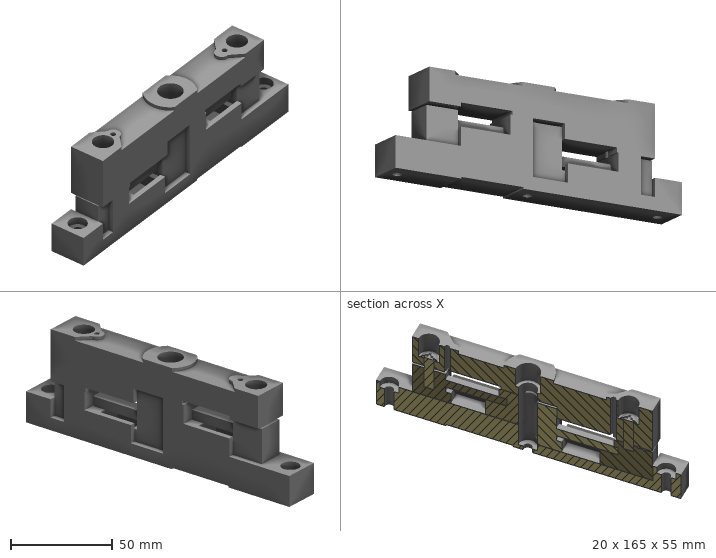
import cadquery as cq
import math

WIDTH = 20.0
LENGTH = 165.0
HEIGHT = 55.0
NARROW_WIDTH = 14.2

UPPER_SEAT = 16.8
LOWER_SEAT = 7.0
SLIDE_THICKNESS = 9.9
UPPER_RISER = 10.4
LOWER_RISER = 9.9

SEAT_STEP_Y = 3.5
LOWER_SEAT_END_Y = -67.0
RELIEF_START_Y = 8.7
RELIEF_END_Y = 44.5
RELIEF_DEPTH = 0.8
MOUNT_HOLE_DIAMETER = 5.0
MOUNT_HEAD_DIAMETER = 10.0
MOUNT_HEAD_DEPTH = 4.1
MOUNT_PITCH = 74.9
MOUNT_SHIFT_Y = 0.5

UPPER_SLIDE_Y = 44.9
UPPER_RISER_Y = 16.3
LOWER_SLIDE_Y = -16.8
LOWER_RISER_Y = -45.9
LOWER_SLIDE_END_Y = -58.7
SLOT_LENGTH = 21.5
TAIL_DROP = 0.5

POST_TOP = 36.0
TONGUE_LENGTH = 3.0
TONGUE_HEIGHT = 7.0
ARM_WIDTH = 6.8
ARM_TIP_WIDTH = 5.3
ARM_LENGTH = 30.0
ARM_TIP_LENGTH = 3.3
ARM_HEIGHT = 5.3

BLOCK_START_Y = 63.0
BLOCK_END_Y = LOWER_SEAT_END_Y
DECK_Z = 53.0
UPPER_RECESS_Z = 39.1
UPPER_RECESS_END_Y = 15.2
LOWER_STEP_Y = -15.0
LOWER_RECESS_Z = 29.2
LOWER_RECESS_END_Y = -45.0
DISC_RADIUS = 13.5
WELL_DIAMETER = 13.2
WELL_Y = 0.3
WELL_FLOOR_Z = 42.7
UPPER_PAD_Y = 48.2
UPPER_PAD_NOSE_Y = 41.7
LOWER_PAD_Y = -51.8
LOWER_PAD_NOSE_Y = -45.7
NOSE_RADIUS = 3.8
PIN_HOLE_DIAMETER = 3.0
UPPER_PIN_HOLE_Y = 44.0
LOWER_PIN_HOLE_Y = -45.9

SCREW_Y = 54.0
SCREW_SEAT_Z = 42.7
SCREW_WELL_DIAMETER = 11.0
HEAD_DIAMETER = 9.5
HEAD_HEIGHT = 2.5
DOME_MID_ANGLE = 65
SHANK_DIAMETER = 5.0
SHANK_LENGTH = 20.0
CROSS_LENGTH = 4.5
CROSS_WIDTH = 1.5
CROSS_DEPTH = 2.0

UPPER_RISER_TOP = UPPER_SEAT + SLIDE_THICKNESS + UPPER_RISER
LOWER_RISER_TOP = LOWER_SEAT + SLIDE_THICKNESS + LOWER_RISER


def box(width, y_low, y_high, z_low, z_high):
    """Box centred on x = 0 between the given Y and Z limits."""
    size_y = y_high - y_low
    return (
        cq.Workplane("XY")
        .box(width, size_y, z_high - z_low, centered=(True, False, False))
        .translate((0, y_low, z_low))
    )


def rod(diameter, y, z_low, z_high):
    """Upright cylinder at x = 0."""
    return cq.Workplane("XY", origin=(0, y, z_low)).circle(diameter / 2).extrude(z_high - z_low)


def full_width(profile):
    """Extrude a closed (Y, Z) profile over the whole width."""
    return cq.Workplane("YZ").polyline(profile).close().extrude(WIDTH / 2, both=True)


def make_screw(y):
    """Domed cross-recess screw."""
    head_radius = HEAD_DIAMETER / 2
    shank_radius = SHANK_DIAMETER / 2
    dome_radius = (head_radius**2 + HEAD_HEIGHT**2) / (2 * HEAD_HEIGHT)
    dome_centre = HEAD_HEIGHT - dome_radius
    mid = math.radians(DOME_MID_ANGLE)
    screw = (
        cq.Workplane("XZ")
        .moveTo(0, -SHANK_LENGTH)
        .lineTo(shank_radius, -SHANK_LENGTH)
        .lineTo(shank_radius, 0)
        .lineTo(head_radius, 0)
        .threePointArc(
            (dome_radius * math.cos(mid), dome_centre + dome_radius * math.sin(mid)),
            (0, HEAD_HEIGHT),
        )
        .close()
        .revolve(360, (0, 0, 0), (0, 1, 0))
    )
    for length_x, length_y in ((CROSS_LENGTH, CROSS_WIDTH), (CROSS_WIDTH, CROSS_LENGTH)):
        arm = (
            cq.Workplane("XY", origin=(0, 0, HEAD_HEIGHT - CROSS_DEPTH))
            .rect(length_x, length_y)
            .extrude(CROSS_DEPTH)
        )
        screw = screw.cut(arm)
    return screw.translate((0, y, SCREW_SEAT_Z))


def screw_hole(y):
    """Shank hole with the length of the screw."""
    return rod(SHANK_DIAMETER, y, SCREW_SEAT_Z - SHANK_LENGTH, SCREW_SEAT_Z)


def access_hole():
    """Passage that lets a mounting screw down to the middle hole of the base."""
    return rod(MOUNT_HEAD_DIAMETER, WELL_Y, 0, HEIGHT)


def make_base():
    """Base bar with two seats and three counterbored mounting holes."""
    base = full_width(
        [
            (-LENGTH / 2, 0),
            (RELIEF_START_Y, 0),
            (RELIEF_START_Y, RELIEF_DEPTH),
            (RELIEF_END_Y, RELIEF_DEPTH),
            (RELIEF_END_Y, 0),
            (LENGTH / 2, 0),
            (LENGTH / 2, UPPER_SEAT),
            (SEAT_STEP_Y, UPPER_SEAT),
            (SEAT_STEP_Y, LOWER_SEAT),
            (LOWER_SEAT_END_Y, LOWER_SEAT),
            (LOWER_SEAT_END_Y, UPPER_SEAT),
            (-LENGTH / 2, UPPER_SEAT),
        ]
    )
    for y, floor in ((-MOUNT_PITCH, UPPER_SEAT), (0, LOWER_SEAT), (MOUNT_PITCH, UPPER_SEAT)):
        hole_y = y + MOUNT_SHIFT_Y
        base = base.cut(rod(MOUNT_HOLE_DIAMETER, hole_y, 0, HEIGHT))
        base = base.cut(rod(MOUNT_HEAD_DIAMETER, hole_y, floor - MOUNT_HEAD_DEPTH, HEIGHT))
    return base


def arm_bar(y_face, seat):
    """Arm of a tongue block: a bar with a narrower tip, running in -Y from the post face."""
    arm_low = seat + SLIDE_THICKNESS
    arm_high = arm_low + ARM_HEIGHT
    y_end = y_face - ARM_LENGTH
    bar = box(ARM_WIDTH, y_end, y_face, arm_low, arm_high)
    return bar.union(box(ARM_TIP_WIDTH, y_end - ARM_TIP_LENGTH, y_end, arm_low, arm_high))


def make_tongue_block(y_start, y_face, seat):
    """Narrow post with a low tongue on the seat and an arm above the slide."""
    post = box(NARROW_WIDTH, y_face, y_start, seat, POST_TOP)
    tongue = box(NARROW_WIDTH, y_face - TONGUE_LENGTH, y_face, seat, seat + TONGUE_HEIGHT)
    return post.union(tongue).union(arm_bar(y_face, seat))


def make_slide(y_start, y_riser, y_end, seat, top):
    """L-shaped slide, slotted for the tongue."""
    flat_top = seat + SLIDE_THICKNESS
    slide = full_width(
        [
            (y_end, seat),
            (y_start, seat),
            (y_start, flat_top),
            (y_riser, flat_top),
            (y_riser, top),
            (y_end, top),
        ]
    )
    return slide.cut(box(NARROW_WIDTH, y_start - SLOT_LENGTH, y_start, seat, flat_top))


def pad_outline(y_side, y_nose, toward):
    """Raised end pad: straight sides that narrow at 45 degrees onto a round nose."""
    half = WIDTH / 2
    y_join = y_side + toward * (half - NOSE_RADIUS)
    end_y = BLOCK_START_Y if toward < 0 else BLOCK_END_Y
    return (
        cq.Workplane("XY", origin=(0, 0, DECK_Z))
        .moveTo(-half, end_y)
        .lineTo(-half, y_side)
        .lineTo(-NOSE_RADIUS, y_join)
        .threePointArc((0, y_nose + toward * NOSE_RADIUS), (NOSE_RADIUS, y_join))
        .lineTo(half, y_side)
        .lineTo(half, end_y)
        .close()
        .extrude(HEIGHT - DECK_Z)
    )


def make_top_block():
    """Clamping block with pads, screw wells and a stepped middle hole."""
    block = full_width(
        [
            (BLOCK_END_Y, LOWER_RISER_TOP),
            (LOWER_RECESS_END_Y, LOWER_RISER_TOP),
            (LOWER_RECESS_END_Y, LOWER_RECESS_Z),
            (LOWER_STEP_Y, LOWER_RECESS_Z),
            (LOWER_STEP_Y, UPPER_RISER_TOP),
            (UPPER_RECESS_END_Y, UPPER_RISER_TOP),
            (UPPER_RECESS_END_Y, UPPER_RECESS_Z),
            (UPPER_SLIDE_Y, UPPER_RECESS_Z),
            (UPPER_SLIDE_Y, UPPER_RISER_TOP),
            (BLOCK_START_Y, UPPER_RISER_TOP),
            (BLOCK_START_Y, DECK_Z),
            (BLOCK_END_Y, DECK_Z),
        ]
    )
    sides = box(WIDTH, BLOCK_END_Y, BLOCK_START_Y, DECK_Z, HEIGHT)
    block = block.union(rod(2 * DISC_RADIUS, 0, DECK_Z, HEIGHT).intersect(sides))
    block = block.union(pad_outline(UPPER_PAD_Y, UPPER_PAD_NOSE_Y, -1))
    block = block.union(pad_outline(LOWER_PAD_Y, LOWER_PAD_NOSE_Y, 1))
    block = block.cut(access_hole()).cut(rod(WELL_DIAMETER, WELL_Y, WELL_FLOOR_Z, HEIGHT))
    for y in (SCREW_Y, -SCREW_Y):
        block = block.cut(rod(SCREW_WELL_DIAMETER, y, SCREW_SEAT_Z, HEIGHT)).cut(screw_hole(y))
    for y in (UPPER_PIN_HOLE_Y, LOWER_PIN_HOLE_Y):
        block = block.cut(rod(PIN_HOLE_DIAMETER, y, 0, HEIGHT))
    return block


base = make_base()
top_block = make_top_block()

upper_tongue_block = make_tongue_block(BLOCK_START_Y, UPPER_SLIDE_Y, UPPER_SEAT).cut(screw_hole(SCREW_Y))
lower_tongue_block = make_tongue_block(SEAT_STEP_Y, LOWER_STEP_Y, LOWER_SEAT).cut(access_hole())

upper_slide = (
    make_slide(UPPER_SLIDE_Y, UPPER_RISER_Y, SEAT_STEP_Y, UPPER_SEAT, UPPER_RISER_TOP)
    .cut(arm_bar(UPPER_SLIDE_Y, UPPER_SEAT))
    .cut(access_hole())
)
tail = box(NARROW_WIDTH, LOWER_SEAT_END_Y, LOWER_SLIDE_END_Y, LOWER_SEAT, LOWER_RISER_TOP - TAIL_DROP)
lower_slide = (
    make_slide(LOWER_SLIDE_Y, LOWER_RISER_Y, LOWER_SLIDE_END_Y, LOWER_SEAT, LOWER_RISER_TOP)
    .union(tail)
    .cut(arm_bar(LOWER_STEP_Y, LOWER_SEAT))
    .cut(screw_hole(-SCREW_Y))
)

screws = [make_screw(y).val() for y in (SCREW_Y, -SCREW_Y)]

result = cq.Compound.makeCompound(
    [
        base.val(),
        top_block.val(),
        upper_tongue_block.val(),
        lower_tongue_block.val(),
        upper_slide.val(),
        lower_slide.val(),
        *screws,
    ]
)